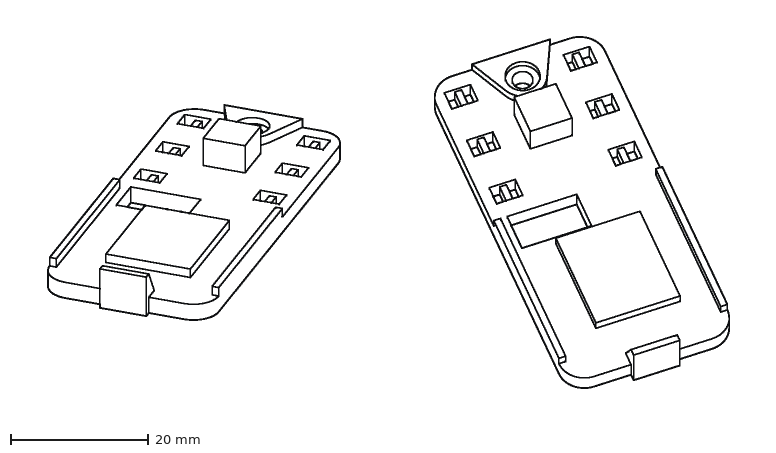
import cadquery as cq
import math

total_length = 58.1
total_height = 7.1
plate_width = 26.3
plate_thickness = 2.6
corner_radius = 3.95
raised_height = 1.4
wall_thickness = 1.05
plate_length = total_length - wall_thickness

screw_setback = 4.65
boss_radius = 3.55
boss_back_width = 12.2
screw_diameter = 3.0
counterbore_diameter = 5.1
counterbore_depth = 1.0

slot_width = 4.05
slot_length = 3.0
slot_offset = 9.3
slot_row_pitch = 9.0
slot_row_count = 3
first_row_setback = 3.9
bar_width = 1.05
bar_offset = 9.2
bar_height = 2.0

block_side = 6.5
block_setback = first_row_setback + slot_row_pitch

window_width = 10.85
window_length = 6.0
window_left = -10.75
window_front = 25.0

pad_width = 13.15
pad_length = 16.1
pad_center_x = 0.7
pad_front = 7.85

rail_length = 26.15

clip_width = 7.2
clip_center_x = 0.2
clip_height = 6.45
clip_foot_depth = 2.2


def box(width, length, height, center_x, center_y, base_z):
    """Box standing on base_z, centred on (center_x, center_y)."""
    return (
        cq.Workplane("XY", origin=(center_x, center_y, base_z))
        .box(width, length, height, centered=(True, True, False))
    )


def make_plate():
    plate = box(plate_width, plate_length, plate_thickness, 0, plate_length / 2, 0)
    return plate.edges("|Z").fillet(corner_radius)


def make_boss():
    """Wedge narrowing from the back edge to a round nose around the screw hole."""
    center_y = plate_length - screw_setback
    half_width = boss_back_width / 2
    corner_distance = math.hypot(half_width, screw_setback)
    corner_angle = math.atan2(screw_setback, half_width)
    tangent_angle = corner_angle - math.acos(boss_radius / corner_distance)
    tangent_x = boss_radius * math.cos(tangent_angle)
    tangent_y = center_y + boss_radius * math.sin(tangent_angle)
    return (
        cq.Workplane("XY", origin=(0, 0, plate_thickness))
        .moveTo(-half_width, plate_length)
        .lineTo(-tangent_x, tangent_y)
        .threePointArc((0, center_y - boss_radius), (tangent_x, tangent_y))
        .lineTo(half_width, plate_length)
        .close()
        .extrude(raised_height)
    )


def cut_screw_hole(body):
    """Through hole, counterbored from the top of the boss."""
    boss_top = (0, plate_length - screw_setback, plate_thickness + raised_height)
    cutting_plane = cq.Workplane("XY", origin=boss_top)
    screw_hole = cutting_plane.circle(screw_diameter / 2).extrude(-plate_thickness - raised_height)
    counterbore = cutting_plane.circle(counterbore_diameter / 2).extrude(-counterbore_depth)
    return body.cut(screw_hole).cut(counterbore)


def cut_barred_slots(body):
    for row in range(slot_row_count):
        slot_y = plate_length - first_row_setback - row * slot_row_pitch
        for side in (-1, 1):
            slot = box(slot_width, slot_length, plate_thickness, side * slot_offset, slot_y, 0)
            bar = box(bar_width, slot_length, bar_height, side * bar_offset, slot_y, 0)
            body = body.cut(slot.cut(bar))
    return body


def make_block():
    height = total_height - plate_thickness
    return box(block_side, block_side, height, 0, plate_length - block_setback, plate_thickness)


def make_window():
    center_x = window_left + window_width / 2
    center_y = window_front + window_length / 2
    return box(window_width, window_length, plate_thickness, center_x, center_y, 0)


def make_pad():
    center_y = pad_front + pad_length / 2
    return box(pad_width, pad_length, raised_height, pad_center_x, center_y, plate_thickness)


def make_rail(side):
    center_x = side * (plate_width - wall_thickness) / 2
    center_y = corner_radius + rail_length / 2
    return box(wall_thickness, rail_length, raised_height, center_x, center_y, plate_thickness)


def make_clip():
    """Upright wall in front of the plate, braced by a slope down to the plate's top."""
    profile = [
        (-wall_thickness, 0),
        (0, 0),
        (0, plate_thickness),
        (clip_foot_depth, plate_thickness),
        (0, clip_height),
        (-wall_thickness, clip_height),
    ]
    return (
        cq.Workplane("YZ", origin=(clip_center_x, 0, 0))
        .polyline(profile)
        .close()
        .extrude(clip_width / 2, both=True)
    )


result = make_plate().union(make_boss())
result = cut_screw_hole(result)
result = cut_barred_slots(result)
result = result.cut(make_window())
result = result.union(make_block()).union(make_pad()).union(make_clip())
for rail_side in (-1, 1):
    result = result.union(make_rail(rail_side))